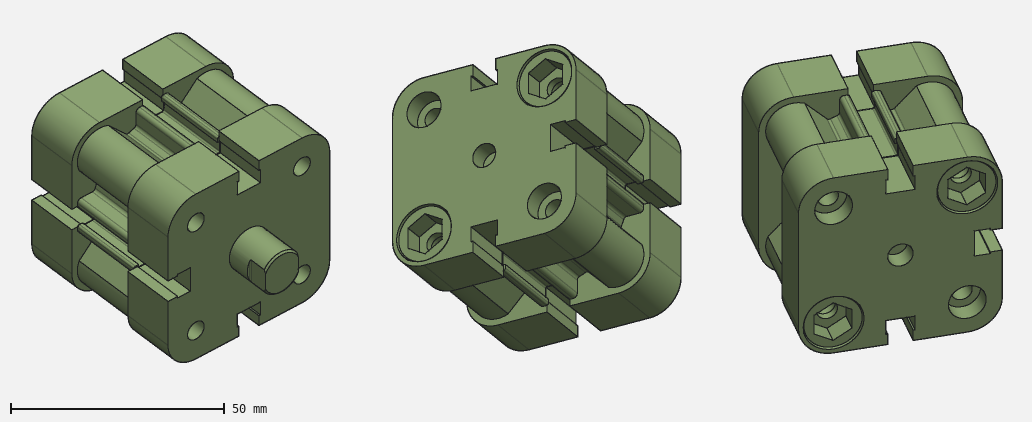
import cadquery as cq
import math


cap_side = 49.5
cap_length = 14.6
cap_corner_radius = 8.5
housing_length = 49.5
front_cap_start = housing_length - cap_length
barrel_length = housing_length - 2 * cap_length

tube_radius = 18.5
lobe_offset = 16.25
lobe_radius = 6.8
web_width = 12.65
valley_fillet = 0.8

slot_turns = [0, 90, 180]
rail_top = 23.0
rail_outer = 5.1
rail_outer_round = 1.1
rail_inner_round = 0.55
rail_root_fillet = 0.9
barrel_neck_width = 5.3
barrel_slot_width = 6.65
barrel_slot_floor = 18.15
barrel_slot_fillet = 0.4
barrel_lip_bottom = 21.45
cap_neck_width = 6.15
cap_slot_width = 7.1
cap_slot_depth = 6.8
cap_lip_thickness = 2.95

screw_hole_diameter = 5.1
counterbore_diameter = 9.15
recess_depth = 5.0
centre_hole_diameter = 6.15

screw_diameter = 14.15
screw_clearance = 0.3
screw_recess = 0.5
screw_length = 7.4
hex_across_flats = 9.15
hex_socket_depth = 5.3

rod_diameter = 12.0
rod_end = 61.5
rod_flat_width = 10.0
rod_flat_length = 5.5
rod_flat_fillet = 0.3
rod_chamfer = 0.5

screw_corners = [(-lobe_offset, lobe_offset), (lobe_offset, -lobe_offset)]
plain_corners = [(lobe_offset, lobe_offset), (-lobe_offset, -lobe_offset)]


def yz_plane(x):
    """Sketch plane across the cylinder: local x is +Y, local y is +Z."""
    return cq.Workplane("YZ", origin=(x, 0, 0))


def bar(x, length, width, bottom, top):
    """Rectangular bar along X, centred on y = 0, between two heights."""
    middle = (bottom + top) / 2
    return yz_plane(x).center(0, middle).rect(width, top - bottom).extrude(length)


def turned(shape, angle):
    """Shape turned about the cylinder axis."""
    return shape.rotate((0, 0, 0), (1, 0, 0), angle)


def make_cap(x):
    """Rounded square cap with an undercut slot on three sides."""
    half = cap_side / 2
    lip_bottom = half - cap_lip_thickness
    cap = yz_plane(x).rect(cap_side, cap_side).extrude(cap_length)
    cap = cap.edges("|X").fillet(cap_corner_radius)
    neck = bar(x, cap_length, cap_neck_width, lip_bottom, half)
    undercut = bar(x, cap_length, cap_slot_width, half - cap_slot_depth, lip_bottom)
    for angle in slot_turns:
        cap = cap.cut(turned(neck.union(undercut), angle))
    return cap


def make_rail():
    """Right-hand rail of the +Z slot, reaching from the axis to the rail top."""
    neck_half = barrel_neck_width / 2
    rail = bar(cap_length, barrel_length, rail_outer - neck_half, 0, rail_top)
    rail = rail.translate((0, (rail_outer + neck_half) / 2, 0))
    rail = rail.edges("|X and >Y and >Z").fillet(rail_outer_round)
    return rail.edges("|X and <Y and >Z").fillet(rail_inner_round)


def fillet_along_x(shape, y, z, radius):
    """Fillet the lengthwise barrel edge that passes nearest to (y, z)."""
    barrel_middle = cap_length + barrel_length / 2
    nearest = cq.selectors.NearestToPointSelector((barrel_middle, y, z))
    return shape.edges("|X").edges(nearest).fillet(radius)


def make_barrel():
    """Round tube with four corner lobes on diagonal webs and three slotted channels."""
    barrel = yz_plane(cap_length).circle(tube_radius).extrude(barrel_length)

    web_reach = lobe_offset * math.sqrt(2)
    end_reach = web_reach + lobe_radius
    web = bar(cap_length, barrel_length, web_width, -web_reach, web_reach)
    trim = bar(cap_length, barrel_length, web_width, -end_reach, end_reach)
    end_points = [(0, -web_reach), (0, web_reach)]
    round_ends = yz_plane(cap_length).pushPoints(end_points).circle(lobe_radius).extrude(barrel_length)
    lobed_web = web.union(round_ends.intersect(trim))
    barrel = barrel.union(turned(lobed_web, 45)).union(turned(lobed_web, -45))

    web_angle = math.asin(web_width / 2 / tube_radius)
    for diagonal in (45, 135, 225, 315):
        for side in (-1, 1):
            angle = math.radians(diagonal) + side * web_angle
            y = tube_radius * math.cos(angle)
            z = tube_radius * math.sin(angle)
            barrel = fillet_along_x(barrel, y, z, valley_fillet)

    rail = make_rail()
    rails = rail.union(rail.mirror("XZ"))
    undercut = bar(cap_length, barrel_length, barrel_slot_width, barrel_slot_floor, barrel_lip_bottom)
    undercut = undercut.edges("|X and <Z").fillet(barrel_slot_fillet)
    rail_root_angle = math.asin(rail_outer / tube_radius)
    for turn in slot_turns:
        barrel = barrel.union(turned(rails, turn))
        for side in (-1, 1):
            angle = math.radians(90 + turn) + side * rail_root_angle
            y = tube_radius * math.cos(angle)
            z = tube_radius * math.sin(angle)
            barrel = fillet_along_x(barrel, y, z, rail_root_fillet)
        barrel = barrel.cut(turned(undercut, turn))
    return barrel


def make_housing():
    """Caps and barrel in one piece, with all holes and the bearing bore of the rod."""
    housing = make_barrel().union(make_cap(0)).union(make_cap(front_cap_start))

    through_holes = yz_plane(0).pushPoints(screw_corners + plain_corners)
    housing = housing.cut(through_holes.circle(screw_hole_diameter / 2).extrude(housing_length))

    counterbores = yz_plane(0).pushPoints(plain_corners)
    housing = housing.cut(counterbores.circle(counterbore_diameter / 2).extrude(recess_depth))

    screw_seats = yz_plane(0).pushPoints(screw_corners)
    seat_radius = screw_diameter / 2 + screw_clearance
    housing = housing.cut(screw_seats.circle(seat_radius).extrude(screw_recess + screw_length))

    centre_hole = yz_plane(0).circle(centre_hole_diameter / 2).extrude(recess_depth)
    rod_bore = yz_plane(front_cap_start).circle(rod_diameter / 2).extrude(cap_length)
    return housing.cut(centre_hole).cut(rod_bore)


def make_screw(y, z):
    """Hollow flange screw, set just below the rear face, with a hex socket."""
    screw = yz_plane(0).circle(screw_diameter / 2).extrude(screw_length)
    bore = yz_plane(0).circle(screw_hole_diameter / 2).extrude(screw_length)
    hex_across_corners = hex_across_flats / math.cos(math.pi / 6)
    socket = yz_plane(0).polygon(6, hex_across_corners).extrude(hex_socket_depth)
    screw = screw.cut(bore).cut(turned(socket, 90))
    return screw.translate((screw_recess, y, z))


def make_rod():
    """Piston rod with a chamfered end and two wrench flats facing +Y and -Y."""
    rod = yz_plane(front_cap_start).circle(rod_diameter / 2).extrude(rod_end - front_cap_start)
    rod = rod.faces(">X").chamfer(rod_chamfer)
    flat_start = rod_end - rod_flat_length
    for side in (-1, 1):
        cutter = yz_plane(flat_start).rect(rod_diameter, rod_diameter).extrude(rod_diameter)
        cutter = cutter.edges("|Z and <X").fillet(rod_flat_fillet)
        rod = rod.cut(cutter.translate((0, side * (rod_flat_width + rod_diameter) / 2, 0)))
    return rod


housing = make_housing()
rod = make_rod()
screws = [make_screw(y, z).val() for y, z in screw_corners]

result = cq.Compound.makeCompound([housing.val(), rod.val(), *screws])